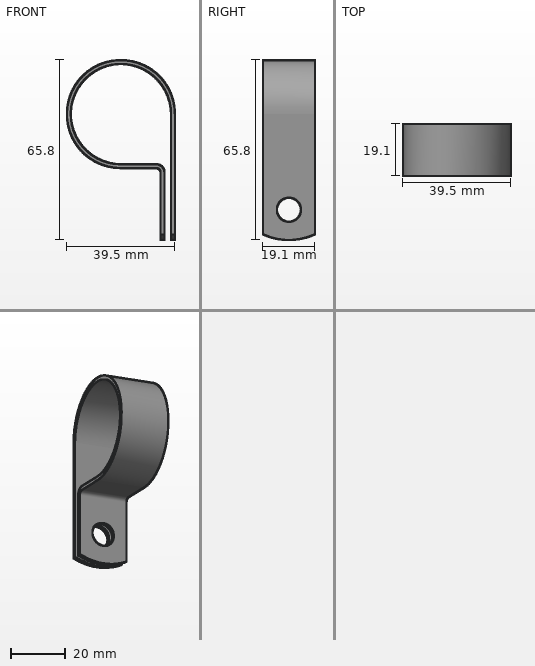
import cadquery as cq
import math

strap_width = 19.1
thickness = 1.5
loop_diameter = 39.55
total_height = 65.8
leg_gap = 2.3
bend_inner_radius = 1.5
hole_diameter = 8.7
hole_height = 11.1
tip_rise = 2.1

outer_radius = loop_diameter / 2
inner_radius = outer_radius - thickness
leg_bottom = outer_radius - total_height
short_leg_right = inner_radius - leg_gap
short_leg_left = short_leg_right - thickness
bend_outer_radius = bend_inner_radius + thickness
bend_x = short_leg_right - bend_outer_radius
bend_z = -inner_radius - bend_outer_radius
diagonal = math.sqrt(0.5)


def make_strap():
    """Bent strip: long leg, three-quarter loop, ledge and short leg."""
    return (
        cq.Workplane("XZ")
        .moveTo(outer_radius, leg_bottom)
        .lineTo(outer_radius, 0)
        .threePointArc((-outer_radius * diagonal, outer_radius * diagonal), (0, -outer_radius))
        .lineTo(bend_x, -outer_radius)
        .threePointArc(
            (bend_x + bend_inner_radius * diagonal, bend_z + bend_inner_radius * diagonal),
            (short_leg_left, bend_z),
        )
        .lineTo(short_leg_left, leg_bottom)
        .lineTo(short_leg_right, leg_bottom)
        .lineTo(short_leg_right, bend_z)
        .threePointArc(
            (bend_x + bend_outer_radius * diagonal, bend_z + bend_outer_radius * diagonal),
            (bend_x, -inner_radius),
        )
        .lineTo(0, -inner_radius)
        .threePointArc((-inner_radius * diagonal, inner_radius * diagonal), (inner_radius, 0))
        .lineTo(inner_radius, leg_bottom)
        .close()
        .extrude(strap_width / 2, both=True)
    )


def make_side_outline():
    """Block across both legs whose lower end is the shallow tip arc."""
    half_width = strap_width / 2
    return (
        cq.Workplane("YZ")
        .moveTo(-half_width, outer_radius)
        .lineTo(-half_width, leg_bottom + tip_rise)
        .threePointArc((0, leg_bottom), (half_width, leg_bottom + tip_rise))
        .lineTo(half_width, outer_radius)
        .close()
        .extrude(outer_radius, both=True)
    )


def make_screw_hole():
    """Cylinder along X through both legs."""
    return (
        cq.Workplane("YZ")
        .center(0, leg_bottom + hole_height)
        .circle(hole_diameter / 2)
        .extrude(outer_radius)
    )


result = make_strap().intersect(make_side_outline()).cut(make_screw_hole())